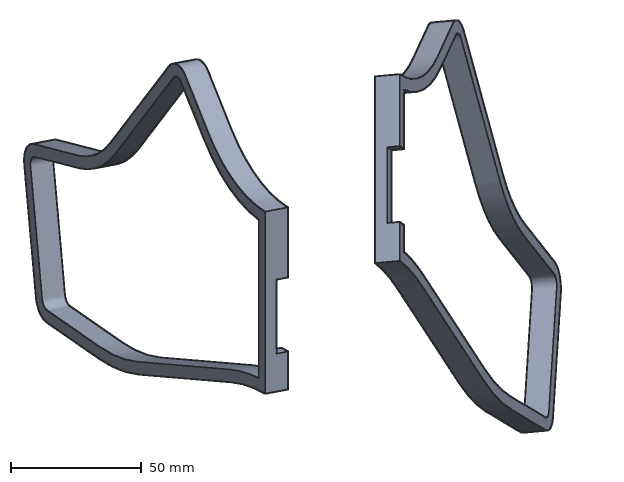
import cadquery as cq
import math

length = 186.5
height = 138.5
depth = 10.0
wall = 5.0

shoulder_angle = 10
peak_angle = 45
ramp_angle = 15
foot_angle = 3

corner_radius = 9.1
shoulder_radius = 46.8
neck_radius = 61.7
belly_radius = 100.0
ramp_end_radius = 100.0

heel_center_z = 62.7

end_bottom = 26.0
end_top = 100.0

notch_bottom = 41.4
notch_height = 30.0
notch_depth = depth / 2


def direction(angle):
    """Unit vector at an angle in degrees."""
    return math.cos(math.radians(angle)), math.sin(math.radians(angle))


def meet(point_a, angle_a, point_b, angle_b):
    """Intersection of two lines, each given by a point and an angle."""
    ax, az = direction(angle_a)
    bx, bz = direction(angle_b)
    gap_x = point_b[0] - point_a[0]
    gap_z = point_b[1] - point_a[1]
    along = (gap_x * bz - gap_z * bx) / (ax * bz - az * bx)
    return point_a[0] + along * ax, point_a[1] + along * az


def circle_point(center, radius, angle):
    """Point of a circle at an angle in degrees."""
    ux, uz = direction(angle)
    return center[0] + radius * ux, center[1] + radius * uz


def bend(before, corner, after, radius):
    """Start, middle and end of the arc that rounds a corner."""
    in_angle = math.atan2(before[1] - corner[1], before[0] - corner[0])
    out_angle = math.atan2(after[1] - corner[1], after[0] - corner[0])
    half = math.acos(math.cos(out_angle - in_angle)) / 2
    setback = radius / math.tan(half)
    to_center = radius / math.sin(half)
    start = circle_point(corner, setback, math.degrees(in_angle))
    end = circle_point(corner, setback, math.degrees(out_angle))
    mid_x = (start[0] + end[0]) / 2 - corner[0]
    mid_z = (start[1] + end[1]) / 2 - corner[1]
    bisector = math.degrees(math.atan2(mid_z, mid_x))
    return start, circle_point(corner, to_center - radius, bisector), end


neck_center = (length, end_top + neck_radius)
neck_start = circle_point(neck_center, neck_radius, 270 - peak_angle)
neck_middle = circle_point(neck_center, neck_radius, 270 - peak_angle / 2)
ramp_center = (length, end_bottom - ramp_end_radius)
ramp_start = circle_point(ramp_center, ramp_end_radius, 90 + ramp_angle)
ramp_middle = circle_point(ramp_center, ramp_end_radius, 90 + ramp_angle / 2)

peak_center_z = height - corner_radius
heel_center = (corner_radius, heel_center_z)

peak_from_center = corner_radius / math.cos(math.radians(peak_angle))
peak_level = (0, peak_center_z + peak_from_center)
peak = meet(neck_start, -peak_angle, peak_level, 0)
heel_top = circle_point(heel_center, corner_radius, 90 + shoulder_angle)
heel_side = circle_point(heel_center, corner_radius, 180 + shoulder_angle)
side_angle = shoulder_angle - 90
heel = meet(heel_top, shoulder_angle, heel_side, side_angle)
shoulder = meet(heel_top, shoulder_angle, peak, peak_angle)

ramp_offset = circle_point(ramp_start, belly_radius, 90 + ramp_angle)
belly_center = meet(ramp_offset, ramp_angle, (0, belly_radius), 0)
foot_tangent = circle_point(belly_center, belly_radius, 270 - foot_angle)
belly = meet(foot_tangent, -foot_angle, ramp_start, ramp_angle)
toe = meet(heel_side, side_angle, foot_tangent, -foot_angle)


def outline():
    """Closed outer profile, walked clockwise from the bottom of the end wall."""
    bends = [
        bend(ramp_start, belly, toe, belly_radius),
        bend(belly, toe, heel, corner_radius),
        bend(toe, heel, shoulder, corner_radius),
        bend(heel, shoulder, peak, shoulder_radius),
        bend(shoulder, peak, neck_start, corner_radius),
    ]
    profile = cq.Workplane("XZ").moveTo(length, end_bottom)
    profile = profile.threePointArc(ramp_middle, ramp_start)
    for start, middle, end in bends:
        profile = profile.lineTo(*start).threePointArc(middle, end)
    profile = profile.lineTo(*neck_start)
    profile = profile.threePointArc(neck_middle, (length, end_top))
    return profile.close()


def frame():
    """Constant-width band that follows the outline."""
    outer = outline().extrude(-depth)
    opening = outline().offset2D(-wall).extrude(-depth)
    return outer.cut(opening)


def notch():
    """Block that cuts the end wall over its full thickness."""
    corner = (length - wall, depth - notch_depth, notch_bottom)
    block = cq.Workplane("XY").box(wall, notch_depth, notch_height, centered=False)
    return block.translate(corner)


result = frame().cut(notch())